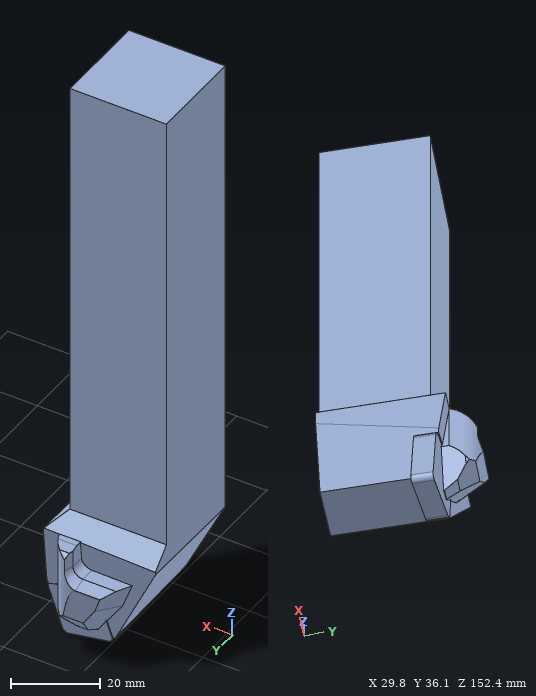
import cadquery as cq
import math

shank_size = 25.3
tool_top = 152.4
head_width = 29.7
flare_start = 34.3
flare_end = 29.9
bevel_start = 28.5

bevel_foot = (10.4, 7.8)
head_corner = (24.1, 4.1)
side_bend = (head_width, 25.0)
lean_x = 0.066
lean_z = -0.12

rake_point = (0, 30.0, 29.5)
rake_normal = (0.018, 1, -0.1)

insert_tip = (26.4, 26.0, -0.3)
insert_side = 14.3
insert_thickness = 5.2
insert_corner_radius = 1.4
insert_angle = math.radians(15)

clamp_base = 26.7
clamp_bevel_start = 32.9
clamp_bevel_angle = 20
clamp_top = 36.1
clamp_step_radius = 5.2 / 2
clamp_wall = 22.7
clamp_nub_left = 19.8
clamp_nub_top = 30.0
clamp_right = 25.5
clamp_bottom = 5.3
clamp_draft_base = 29.0
clamp_wall_draft = 26
clamp_left_walls = [((6.4, 22.7), (9.8, 15.5)), ((9.8, 15.5), (17.5, 5.3))]

reach = 61.0


def xz_prism(outline, y_end):
    """Extrude a closed XZ outline from Y = 0 to y_end."""
    return cq.Workplane("XZ").polyline(outline).close().extrude(-y_end)


def beyond(line_start, line_end, distance):
    """Point reached by continuing a line past its end."""
    run = line_end[0] - line_start[0]
    rise = line_end[1] - line_start[1]
    ratio = distance / math.hypot(run, rise)
    return (line_end[0] + run * ratio, line_end[1] + rise * ratio)


def leaning_head():
    """Volume between the leaning left bevel, bottom and side flanks."""
    lower_outline = [
        beyond(bevel_foot, (0, bevel_start), reach),
        bevel_foot,
        head_corner,
        beyond(head_corner, side_bend, reach),
    ]
    leaned_outline = [(x + lean_x * reach, z + lean_z * reach) for x, z in lower_outline]
    return (
        cq.Workplane("XZ").polyline(lower_outline).close()
        .workplane(offset=-reach).polyline(leaned_outline).close()
        .loft(ruled=True)
    )


def make_head():
    full_outline = [
        (0, 0), (head_width, 0), (head_width, flare_end),
        (shank_size, flare_start), (0, flare_start),
    ]
    head = xz_prism(full_outline, reach).intersect(leaning_head())
    back_flare = (
        cq.Workplane("YZ")
        .polyline([(0, 0), (shank_size + flare_start, 0), (shank_size, flare_start), (0, flare_start)])
        .close().extrude(head_width)
    )
    above_rake = (
        cq.Workplane(cq.Plane(rake_point, normal=rake_normal))
        .rect(2 * reach, 2 * reach).extrude(reach)
    )
    return head.intersect(back_flare).cut(above_rake)


def make_shank():
    outline = [
        (0, flare_start), (shank_size, flare_start),
        (shank_size, tool_top), (0, tool_top),
    ]
    return xz_prism(outline, shank_size)


def outside_wall(start, end):
    """Space to the left of a drafted clamp wall through two XZ points."""
    run = end[0] - start[0]
    drop = start[1] - end[1]
    length = math.hypot(run, drop)
    rise = math.tan(math.radians(clamp_wall_draft))
    wall = cq.Plane(
        (start[0], clamp_draft_base, start[1]),
        xDir=(run, 0, -drop),
        normal=(-drop / length, rise, -run / length),
    )
    return cq.Workplane(wall).rect(2 * reach, 2 * reach).extrude(reach)


def clamp_plan(y):
    """Closed clamp outline at height y; its left end is trimmed by the drafted walls."""
    return (
        cq.Workplane("XZ", origin=(0, y, 0))
        .moveTo(0, clamp_wall)
        .lineTo(clamp_nub_left - clamp_step_radius, clamp_wall)
        .radiusArc((clamp_nub_left, clamp_wall + clamp_step_radius), -clamp_step_radius)
        .lineTo(clamp_nub_left, clamp_nub_top)
        .lineTo(clamp_right, clamp_nub_top)
        .lineTo(clamp_right, 13.7)
        .lineTo(19.0, clamp_bottom)
        .lineTo(0, clamp_bottom)
        .close()
    )


def make_clamp():
    """Stepped plan, limited by rounded side and top profiles and drafted left walls."""
    straight_part = clamp_plan(clamp_base).extrude(clamp_base - clamp_bevel_start)
    bevelled_part = clamp_plan(clamp_bevel_start).extrude(
        clamp_bevel_start - clamp_top, taper=clamp_bevel_angle
    )
    plan = straight_part.union(bevelled_part)
    side_profile = (
        cq.Workplane("YZ")
        .moveTo(clamp_base, clamp_bottom).lineTo(27.5, clamp_bottom).lineTo(30.6, 7.0).lineTo(34.9, 12.2)
        .lineTo(clamp_top, 21.3).lineTo(clamp_top, 25.9)
        .threePointArc((35.4, 28.0), (33.8, 29.4))
        .lineTo(31.2, clamp_nub_top).lineTo(clamp_base, clamp_nub_top)
        .close().extrude(head_width)
    )
    top_profile = (
        cq.Workplane("XY")
        .moveTo(0, clamp_base).lineTo(0, 30.5)
        .lineTo(11.0, clamp_top)
        .lineTo(17.7, clamp_top)
        .threePointArc((22.5, 34.0), (clamp_right, 29.5))
        .lineTo(clamp_right, clamp_base)
        .close().extrude(flare_start)
    )
    clamp = plan.intersect(side_profile).intersect(top_profile)
    for start, end in clamp_left_walls:
        clamp = clamp.cut(outside_wall(start, end))
    return clamp


def insert_prism(bottom, top):
    """Square prism at the cutting corner, between two depths from the insert face."""
    seat = cq.Plane(
        insert_tip,
        xDir=(-math.cos(insert_angle), 0, math.sin(insert_angle)),
        normal=(lean_x, 1, lean_z),
    )
    return (
        cq.Workplane(seat).workplane(offset=bottom)
        .rect(insert_side, insert_side, centered=False).extrude(top - bottom)
        .edges(cq.selectors.ParallelDirSelector(seat.zDir))
        .fillet(insert_corner_radius)
    )


insert = insert_prism(-insert_thickness, 0)
pocket = insert_prism(-insert_thickness, insert_thickness)
holder = make_head().union(make_shank()).cut(pocket).union(make_clamp().cut(insert))

result = cq.Compound.makeCompound([holder.val(), insert.val()])